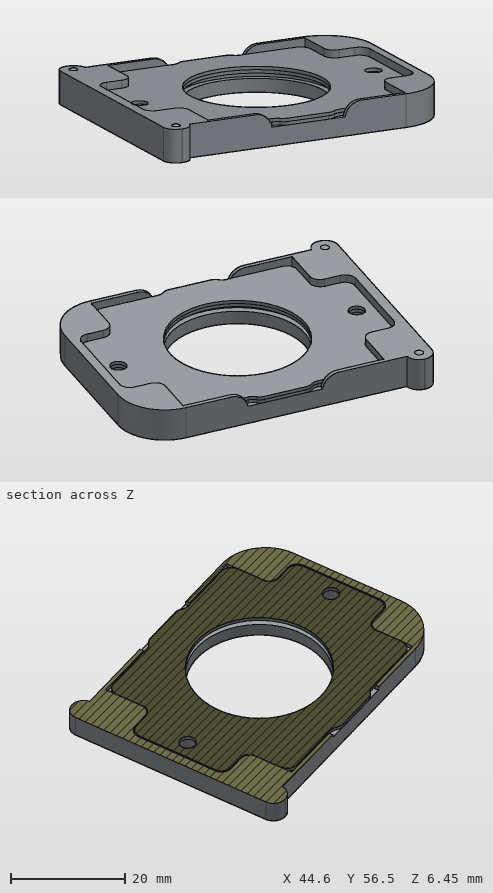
import cadquery as cq
import math


HOUSING_HEIGHT = 6.15
HOUSING_WIDTH = 40.35
OVERALL_LENGTH = 56.45
FAR_EDGE_Y = 28.1
NEAR_EDGE_Y = FAR_EDGE_Y - OVERALL_LENGTH
FAR_CORNER_RADIUS = 9.0
LUG_SPAN = 44.6
LUG_LENGTH = 4.95
LUG_RADIUS = 2.4
LUG_Y = NEAR_EDGE_Y + LUG_LENGTH / 2
DOME_X = 19.85
DOME_HEIGHT = 0.3
DOME_RADIUS = 0.8

OPENING_DIAMETER = 25.9
SCREW_HOLE_DIAMETER = 3.0
SCREW_HOLE_Y = 22.9

POCKET_FLOOR_Z = 3.5
POCKET_HALF_WIDTH = 19.35
POCKET_HALF_LENGTH = 19.3
POCKET_TAB_HALF_WIDTH = 10.0
POCKET_TAB_END = 26.35
SEAT_DIAMETER = 28.4
SEAT_Z = 2.55
NOTCH_HALF_LENGTH = 10.35
NOTCH_RADIUS = 3.2

PLATE_COUNT = 2
PLATE_THICKNESS = 0.6
SIDE_GAP = 0.15
TAB_END_GAP = 0.15
TAB_SIDE_GAP = 0.1
PLATE_HALF_WIDTH = POCKET_HALF_WIDTH - SIDE_GAP
PLATE_TAB_HALF_WIDTH = POCKET_TAB_HALF_WIDTH - TAB_SIDE_GAP
PLATE_TAB_END = POCKET_TAB_END - TAB_END_GAP
CORNER_RADIUS = 2.0
EAR_TIP_HALF_LENGTH = 4.0
EAR_CURVE_RADIUS = 2.0


def block(half_x, half_y, height):
    """Centred rectangular block standing on Z = 0."""
    return cq.Workplane("XY").rect(2 * half_x, 2 * half_y).extrude(height)


def cross_block(half_width, half_length, tab_half_width, tab_end, height):
    """Rectangle with a rounded tab at both Y ends, and rounded corners where the tabs start."""
    body = block(half_width, half_length, height)
    tabs = block(tab_half_width, tab_end, height)
    rounded = body.union(tabs).edges("|Z")
    tab_corners = rounded.filter(lambda edge: abs(edge.Center().x) < tab_half_width + CORNER_RADIUS)
    return tab_corners.fillet(CORNER_RADIUS)


def cylinder(diameter, x, y, bottom, top):
    return cq.Workplane("XY").workplane(offset=bottom).center(x, y).circle(diameter / 2).extrude(top - bottom)


def cut_openings(body):
    """Round opening and the two screw holes, straight through."""
    body = body.cut(cylinder(OPENING_DIAMETER, 0, 0, 0, HOUSING_HEIGHT))
    for side in (-1, 1):
        body = body.cut(cylinder(SCREW_HOLE_DIAMETER, 0, side * SCREW_HOLE_Y, 0, HOUSING_HEIGHT))
    return body


def make_dome(x):
    """Low spherical cap on top of a corner lug."""
    sphere_radius = (DOME_RADIUS**2 + DOME_HEIGHT**2) / (2 * DOME_HEIGHT)
    centre_z = HOUSING_HEIGHT + DOME_HEIGHT - sphere_radius
    ball = cq.Workplane("XY").sphere(sphere_radius).translate((x, LUG_Y, centre_z))
    cap_zone = cylinder(2 * DOME_RADIUS, x, LUG_Y, HOUSING_HEIGHT, HOUSING_HEIGHT + DOME_HEIGHT)
    return ball.intersect(cap_zone)


def make_notch():
    """Finger notch across both side walls; its ends curve over into the top face."""
    arc_centre_z = HOUSING_HEIGHT - NOTCH_RADIUS
    floor_rise = POCKET_FLOOR_Z - arc_centre_z
    floor_half_length = NOTCH_HALF_LENGTH - math.sqrt(NOTCH_RADIUS**2 - floor_rise**2)
    middle_angle = (math.asin(floor_rise / NOTCH_RADIUS) + math.pi / 2) / 2
    middle_y = NOTCH_HALF_LENGTH - NOTCH_RADIUS * math.cos(middle_angle)
    middle_z = arc_centre_z + NOTCH_RADIUS * math.sin(middle_angle)
    return (
        cq.Workplane("YZ")
        .moveTo(-NOTCH_HALF_LENGTH, HOUSING_HEIGHT)
        .threePointArc((-middle_y, middle_z), (-floor_half_length, POCKET_FLOOR_Z))
        .lineTo(floor_half_length, POCKET_FLOOR_Z)
        .threePointArc((middle_y, middle_z), (NOTCH_HALF_LENGTH, HOUSING_HEIGHT))
        .close()
        .extrude(HOUSING_WIDTH / 2, both=True)
    )


def make_housing():
    frame = (
        cq.Workplane("XY")
        .center(0, (FAR_EDGE_Y + LUG_Y) / 2)
        .rect(HOUSING_WIDTH, FAR_EDGE_Y - LUG_Y)
        .extrude(HOUSING_HEIGHT)
        .edges("|Z and >Y")
        .fillet(FAR_CORNER_RADIUS)
    )
    lugs = block(LUG_SPAN / 2, LUG_LENGTH / 2, HOUSING_HEIGHT).edges("|Z").fillet(LUG_RADIUS)
    frame = frame.union(lugs.translate((0, LUG_Y, 0)))

    pocket = cross_block(
        POCKET_HALF_WIDTH,
        POCKET_HALF_LENGTH,
        POCKET_TAB_HALF_WIDTH,
        POCKET_TAB_END,
        HOUSING_HEIGHT - POCKET_FLOOR_Z,
    ).translate((0, 0, POCKET_FLOOR_Z))
    seat = cylinder(SEAT_DIAMETER, 0, 0, SEAT_Z, POCKET_FLOOR_Z)
    housing = cut_openings(frame.cut(pocket).cut(seat).cut(make_notch()))
    for side in (-1, 1):
        housing = housing.union(make_dome(side * DOME_X))
    return housing


def make_ears():
    """Grip ears on both sides, running out to the housing sides through S-shaped ends."""
    tip_x = HOUSING_WIDTH / 2
    half_step = (tip_x - PLATE_HALF_WIDTH) / 2
    sweep = math.acos(1 - half_step / EAR_CURVE_RADIUS)
    curve_length = EAR_CURVE_RADIUS * math.sin(sweep)
    mid_x = PLATE_HALF_WIDTH + half_step
    mid_y = EAR_TIP_HALF_LENGTH + curve_length
    root_y = mid_y + curve_length
    half_ear = (
        cq.Workplane("XY")
        .moveTo(tip_x, 0)
        .lineTo(tip_x, EAR_TIP_HALF_LENGTH)
        .tangentArcPoint((mid_x, mid_y), relative=False)
        .tangentArcPoint((PLATE_HALF_WIDTH, root_y), relative=False)
        .lineTo(0, root_y)
        .lineTo(0, 0)
        .close()
        .extrude(PLATE_THICKNESS)
    )
    one_side = half_ear.union(half_ear.mirror("XZ"))
    return one_side.union(one_side.mirror("YZ"))


def make_plate(bottom):
    plate = cross_block(
        PLATE_HALF_WIDTH,
        POCKET_HALF_LENGTH,
        PLATE_TAB_HALF_WIDTH,
        PLATE_TAB_END,
        PLATE_THICKNESS,
    )
    plate = plate.edges("|Z").edges("<X or >X").fillet(CORNER_RADIUS)
    return cut_openings(plate.union(make_ears())).translate((0, 0, bottom))


housing = make_housing()
plates = [make_plate(POCKET_FLOOR_Z + level * PLATE_THICKNESS) for level in range(PLATE_COUNT)]

result = cq.Compound.makeCompound([housing.val(), *[plate.val() for plate in plates]])